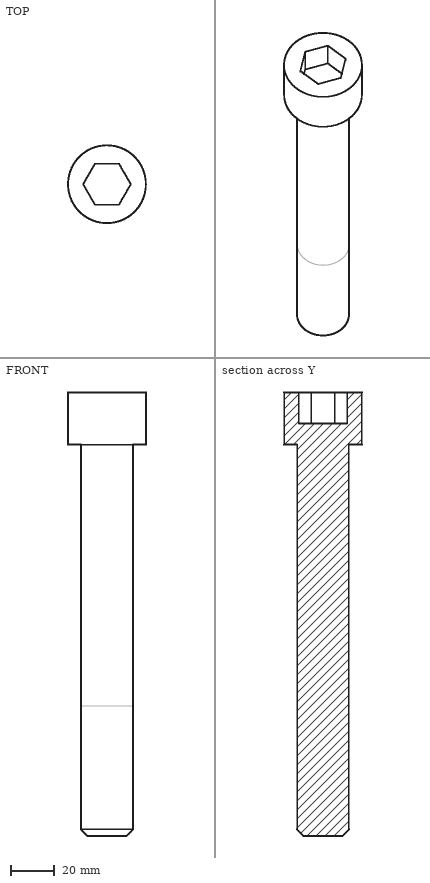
import cadquery as cq
import math

total_length = 204.0
shank_diameter = 24.0
head_diameter = 36.0
head_height = shank_diameter
shank_length = total_length - head_height
thread_length = 60.0

tip_height = 3.0
tip_inset = 3.0

socket_across_flats = 19.0
socket_depth = 14.3
socket_across_corners = socket_across_flats / math.cos(math.pi / 6)


def make_head():
    head = cq.Workplane("XY").circle(head_diameter / 2).extrude(head_height)
    socket = (
        cq.Workplane("XY", origin=(0, 0, head_height))
        .polygon(6, socket_across_corners)
        .extrude(-socket_depth)
    )
    return head.cut(socket)


def make_plain_shank():
    plain_length = shank_length - thread_length
    return cq.Workplane("XY").circle(shank_diameter / 2).extrude(-plain_length)


def make_threaded_end():
    """Threaded length as a smooth cylinder, tapered at the tip."""
    return (
        cq.Workplane("XY", origin=(0, 0, -shank_length))
        .circle(shank_diameter / 2)
        .extrude(thread_length)
        .faces("<Z")
        .chamfer(tip_height, tip_inset)
    )


result = make_head().union(make_plain_shank()).union(make_threaded_end())